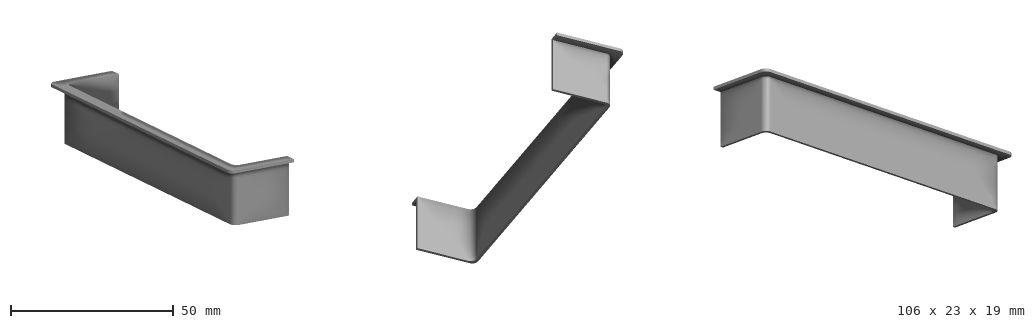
import cadquery as cq

length = 106.0
depth = 23.0
height = 19.0

thickness = 1.0
overhang = 3.0
outer_radius = 2.0
inner_radius = 2.0

front_y = -depth / 2
back_y = depth / 2
inner_inset = overhang + thickness


def rounded_block(inset, radius, block_height):
    """Block set in from the sides and front, flush at the back, with rounded front corners."""
    return (
        cq.Workplane("XY")
        .center(0, (front_y + inset + back_y) / 2)
        .rect(length - 2 * inset, depth - inset)
        .extrude(block_height)
        .edges("|Z and <Y")
        .fillet(radius)
    )


wall = rounded_block(overhang, outer_radius, height)
flange = rounded_block(0, outer_radius, thickness).translate((0, 0, height - thickness))

opening = rounded_block(inner_inset, inner_radius, height)

result = wall.union(flange).cut(opening)